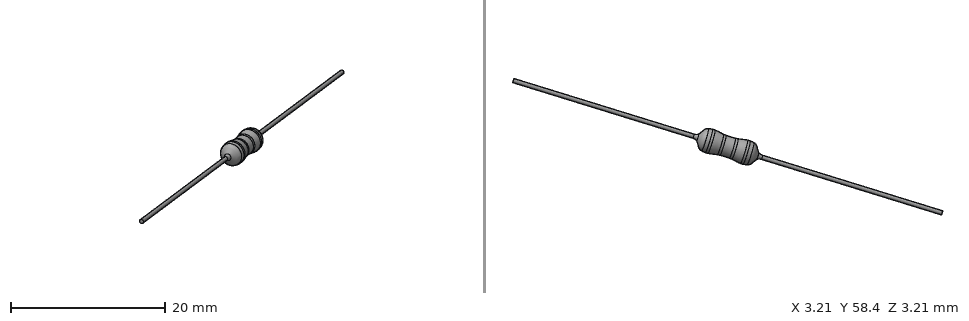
import cadquery as cq
import math

LENGTH = 58.35
LEAD_RADIUS = 0.3

BULGE_RADIUS = 1.605
WAIST_RADIUS = 1.35
BULGE_Y = 2.4
INFLECTION_Y = 1.7
CORE_END_Y = 2 * BULGE_Y - INFLECTION_Y

CONE_OUTER_RADIUS = 1.15
CONE_OUTER_Y = 3.6
CONE_INNER_RADIUS = 0.45
CONE_INNER_Y = 4.1
CAP_END_Y = 4.65

BAND_WIDTH = 0.35
BAND_INNER_RADIUS = 1.15
INNER_BAND_Y = 0.8
BAND_CENTRES = [-BULGE_Y, -INNER_BAND_Y, INNER_BAND_Y, BULGE_Y]

CHORD_SLOPE = (BULGE_RADIUS - WAIST_RADIUS) / BULGE_Y
SHOULDER_RADIUS = BULGE_RADIUS - CHORD_SLOPE * (BULGE_Y - INFLECTION_Y)
SHOULDER_ANGLE = 2 * math.atan(CHORD_SLOPE)


def revolve_about_y(profile):
    """Turn a closed half profile (X is the radius) around the Y axis."""
    return profile.close().revolve(360, (0, 0, 0), (0, 1, 0))


def make_core_blank():
    return revolve_about_y(
        cq.Workplane("XY")
        .moveTo(0, -CORE_END_Y)
        .lineTo(SHOULDER_RADIUS, -CORE_END_Y)
        .threePointArc((BULGE_RADIUS, -BULGE_Y), (SHOULDER_RADIUS, -INFLECTION_Y))
        .threePointArc((WAIST_RADIUS, 0), (SHOULDER_RADIUS, INFLECTION_Y))
        .threePointArc((BULGE_RADIUS, BULGE_Y), (SHOULDER_RADIUS, CORE_END_Y))
        .lineTo(0, CORE_END_Y)
    )


def make_band(core_blank, centre_y):
    """Ring whose outside follows the surface of the core."""
    ring = (
        cq.Workplane("XZ", origin=(0, centre_y, 0))
        .circle(BULGE_RADIUS + BAND_WIDTH)
        .circle(BAND_INNER_RADIUS)
        .extrude(BAND_WIDTH / 2, both=True)
    )
    return core_blank.intersect(ring)


def make_core(core_blank, bands):
    core = core_blank
    for band in bands:
        core = core.cut(band)
    return core


def make_cap():
    """Cap on the +Y end, continuing the curve of the core smoothly."""
    chord_x = CONE_OUTER_RADIUS - SHOULDER_RADIUS
    chord_y = CONE_OUTER_Y - CORE_END_Y
    turn = math.atan2(-chord_x, chord_y) - SHOULDER_ANGLE
    sag_ratio = math.tan(turn / 2) / 2
    shoulder_mid = (
        (SHOULDER_RADIUS + CONE_OUTER_RADIUS) / 2 + chord_y * sag_ratio,
        (CORE_END_Y + CONE_OUTER_Y) / 2 - chord_x * sag_ratio,
    )
    flare_x = CONE_INNER_RADIUS - LEAD_RADIUS
    flare_y = CAP_END_Y - CONE_INNER_Y
    flare_sag_ratio = math.tan(math.atan2(flare_x, flare_y) / 2) / 2
    flare_mid = (
        (LEAD_RADIUS + CONE_INNER_RADIUS) / 2 - flare_y * flare_sag_ratio,
        (CAP_END_Y + CONE_INNER_Y) / 2 - flare_x * flare_sag_ratio,
    )
    return revolve_about_y(
        cq.Workplane("XY")
        .moveTo(0, CORE_END_Y)
        .lineTo(SHOULDER_RADIUS, CORE_END_Y)
        .threePointArc(shoulder_mid, (CONE_OUTER_RADIUS, CONE_OUTER_Y))
        .lineTo(CONE_INNER_RADIUS, CONE_INNER_Y)
        .threePointArc(flare_mid, (LEAD_RADIUS, CAP_END_Y))
        .lineTo(0, CAP_END_Y)
    )


def make_lead():
    """Wire on the +Y end, butting against its cap."""
    return (
        cq.Workplane("XZ", origin=(0, LENGTH / 2, 0))
        .circle(LEAD_RADIUS)
        .extrude(LENGTH / 2 - CAP_END_Y)
    )


def at_both_ends(body):
    """The +Y body and its mirror image on the -Y end."""
    return [body, body.mirror("XZ")]


core_blank = make_core_blank()
bands = [make_band(core_blank, centre_y) for centre_y in BAND_CENTRES]
core = make_core(core_blank, bands)
caps = at_both_ends(make_cap())
leads = at_both_ends(make_lead())

bodies = [core, *bands, *caps, *leads]
result = cq.Compound.makeCompound([solid for body in bodies for solid in body.solids().vals()])